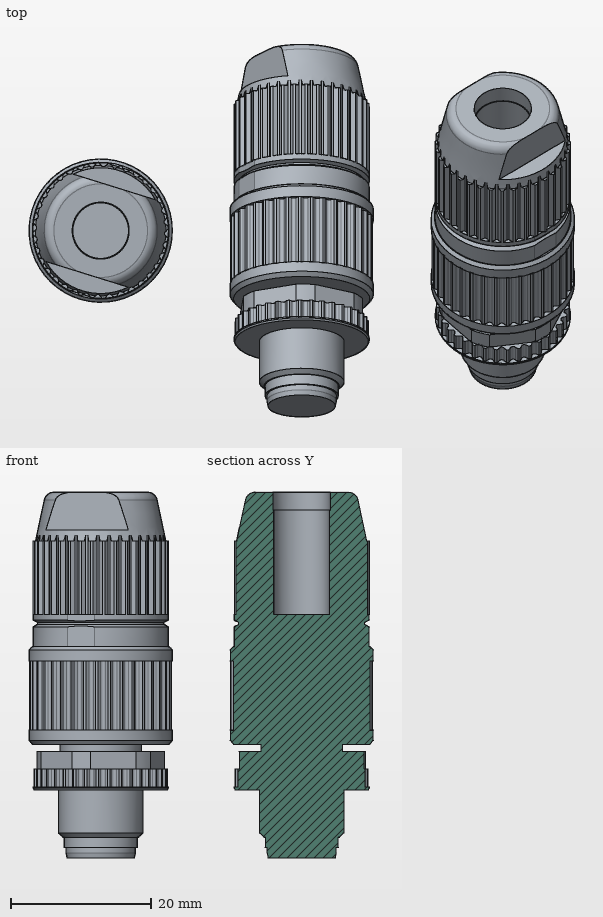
import cadquery as cq
import math

overall_height = 52.2
tip_chamfer_top = 0.75
tip_top = 1.5
collar_top = 3.0
sleeve_chamfer_top = 3.6
ring_bottom = 9.7
ring_rim_start = 9.95
ring_knurl_bottom = 10.2
hex_bottom = 12.75
hex_top = 15.25
nut_bottom = 16.2
nut_rim_start = 16.8
nut_knurl_bottom = 18.25
nut_knurl_top = 28.1
nut_rim_top = 29.7
body_bottom = 30.15
body_top = 33.0
neck_bottom = 33.35
neck_top = 33.6
cap_bottom = 33.95
cap_knurl_bottom = 34.75
cap_knurl_top = 45.25
wrench_shelf = 46.8

tip_face_radius = 4.8
tip_radius = 4.95
collar_radius = 5.2
sleeve_bottom_radius = 5.4
sleeve_radius = 6.05
ring_bottom_radius = 9.5
ring_rim_radius = 9.65
ring_knurl_radius = 9.5
hex_corner_radius = 9.15
shaft_radius = 5.85
nut_rim_radius = 10.25
nut_knurl_radius = 10.15
nut_bottom_radius = 9.7
nut_top_radius = 9.75
body_radius = 9.65
neck_radius = 9.05
cap_face_radius = 6.7
bore_mouth_radius = 4.05
bore_radius = 3.95

cap_fillet = 1.4
cap_taper = math.radians(12)
bore_mouth_depth = 2.55
bore_floor = cap_knurl_bottom

flat_turn = -17.3
wrench_flat_distance = 6.5
body_flat_distance = 9.45
hex_turn = 12.2
hex_side_offset = 30
hex_across_flats = 17.0

groove_count = 36
groove_pitch = 360 / groove_count
cap_groove_turn = -2.5
lower_groove_turn = 2.0
land_width = 0.3
cap_groove_depth = 0.5
cap_groove_floor_width = 0.3
scoop_wall_depth = 0.35
scoop_depth = 0.6
scoop_floor_width = 0.7
clearance = 0.5


def revolved_body():
    """Stepped round body with the tapered, rounded cap nose."""
    arc_center_z = overall_height - cap_fillet

    def nose_point(angle):
        return (
            cap_face_radius + cap_fillet * math.cos(angle),
            arc_center_z + cap_fillet * math.sin(angle),
        )

    nose_end = nose_point(cap_taper)
    nose_middle = nose_point((cap_taper + math.pi / 2) / 2)
    cone_base_radius = nose_end[0] + (nose_end[1] - cap_knurl_top) * math.tan(cap_taper)
    profile = (
        cq.Workplane("XZ")
        .moveTo(0, 0)
        .lineTo(tip_face_radius, 0)
        .lineTo(tip_radius, tip_chamfer_top)
        .lineTo(tip_radius, tip_top)
        .lineTo(collar_radius, tip_top)
        .lineTo(collar_radius, collar_top)
        .lineTo(sleeve_bottom_radius, collar_top)
        .lineTo(sleeve_radius, sleeve_chamfer_top)
        .lineTo(sleeve_radius, ring_bottom)
        .lineTo(ring_bottom_radius, ring_bottom)
        .lineTo(ring_rim_radius, ring_rim_start)
        .lineTo(ring_rim_radius, ring_knurl_bottom)
        .lineTo(ring_knurl_radius, ring_knurl_bottom)
        .lineTo(ring_knurl_radius, hex_bottom)
        .lineTo(shaft_radius, hex_bottom)
        .lineTo(shaft_radius, nut_bottom)
        .lineTo(nut_bottom_radius, nut_bottom)
        .lineTo(nut_rim_radius, nut_rim_start)
        .lineTo(nut_rim_radius, nut_knurl_bottom)
        .lineTo(nut_knurl_radius, nut_knurl_bottom)
        .lineTo(nut_knurl_radius, nut_knurl_top)
        .lineTo(nut_rim_radius, nut_knurl_top)
        .lineTo(nut_rim_radius, nut_rim_top)
        .lineTo(nut_top_radius, body_bottom)
        .lineTo(body_radius, body_bottom)
        .lineTo(body_radius, body_top)
        .lineTo(neck_radius, neck_bottom)
        .lineTo(neck_radius, neck_top)
        .lineTo(body_radius, cap_bottom)
        .lineTo(body_radius, cap_knurl_top)
        .lineTo(cone_base_radius, cap_knurl_top)
        .lineTo(*nose_end)
        .threePointArc(nose_middle, (cap_face_radius, overall_height))
        .lineTo(0, overall_height)
        .close()
    )
    return profile.revolve(360, (0, 0, 0), (0, 1, 0))


def hex_section():
    """Hexagon with its corners rounded off by a cylinder."""
    height = hex_top - hex_bottom
    plane = cq.Workplane("XY").workplane(offset=hex_bottom)
    hexagon = plane.polygon(6, hex_across_flats, circumscribed=True).extrude(height)
    hexagon = hexagon.rotate((0, 0, 0), (0, 0, 1), hex_side_offset + hex_turn)
    return hexagon.intersect(plane.circle(hex_corner_radius).extrude(height))


def flat_pair(distance, bottom, top):
    """Two blocks that trim opposite sides to flats at the given distance from the axis."""
    thickness = nut_rim_radius
    blocks = (
        cq.Workplane("XY")
        .workplane(offset=bottom)
        .pushPoints([(0, distance + thickness / 2), (0, -distance - thickness / 2)])
        .rect(2 * nut_rim_radius, thickness)
        .extrude(top - bottom)
    )
    return blocks.rotate((0, 0, 0), (0, 0, 1), flat_turn)


def groove_half_width(radius):
    """Half the groove mouth, which leaves one land between neighbouring grooves."""
    return math.pi * radius / groove_count - land_width / 2


def groove_cutter(radius, bottom, top, floor_width, wall_depth, full_depth):
    """Cutter for one tapered groove on the -Y side; a full depth below the walls hollows its floor."""
    mouth = groove_half_width(radius)
    floor = floor_width / 2
    wall_end = radius - wall_depth
    outside = radius + clearance
    outline = (
        cq.Workplane("XY")
        .workplane(offset=bottom)
        .moveTo(-mouth, -outside)
        .lineTo(-mouth, -radius)
        .lineTo(-floor, -wall_end)
    )
    if full_depth > wall_depth:
        outline = outline.threePointArc((0, full_depth - radius), (floor, -wall_end))
    else:
        outline = outline.lineTo(floor, -wall_end)
    outline = outline.lineTo(mouth, -radius).lineTo(mouth, -outside).close()
    return outline.extrude(top - bottom)


def flat_groove(radius, bottom, top):
    depth = cap_groove_depth
    return groove_cutter(radius, bottom, top, cap_groove_floor_width, depth, depth)


def scooped_groove(radius, bottom, top):
    return groove_cutter(radius, bottom, top, scoop_floor_width, scoop_wall_depth, scoop_depth)


def knurl(groove, first_turn):
    """All copies of one groove around the axis."""
    cutters = [
        groove.rotate((0, 0, 0), (0, 0, 1), first_turn + index * groove_pitch).val()
        for index in range(groove_count)
    ]
    return cq.Workplane(cq.Compound.makeCompound(cutters))


def bore():
    """Cable bore, slightly wider at its mouth."""
    top = cq.Workplane("XY").workplane(offset=overall_height)
    narrow = top.circle(bore_radius).extrude(bore_floor - overall_height)
    return narrow.union(top.circle(bore_mouth_radius).extrude(-bore_mouth_depth))


cap_groove_top = wrench_shelf - clearance
cap_groove = flat_groove(body_radius, cap_knurl_bottom, cap_groove_top)
nut_groove = scooped_groove(nut_knurl_radius, nut_knurl_bottom, nut_knurl_top)
ring_groove = scooped_groove(ring_knurl_radius, ring_knurl_bottom, hex_bottom)

result = (
    revolved_body()
    .cut(knurl(cap_groove, cap_groove_turn))
    .cut(knurl(nut_groove, lower_groove_turn))
    .cut(knurl(ring_groove, lower_groove_turn))
    .union(hex_section())
    .cut(flat_pair(wrench_flat_distance, wrench_shelf, overall_height))
    .cut(flat_pair(body_flat_distance, body_bottom, cap_knurl_bottom))
    .cut(bore())
)